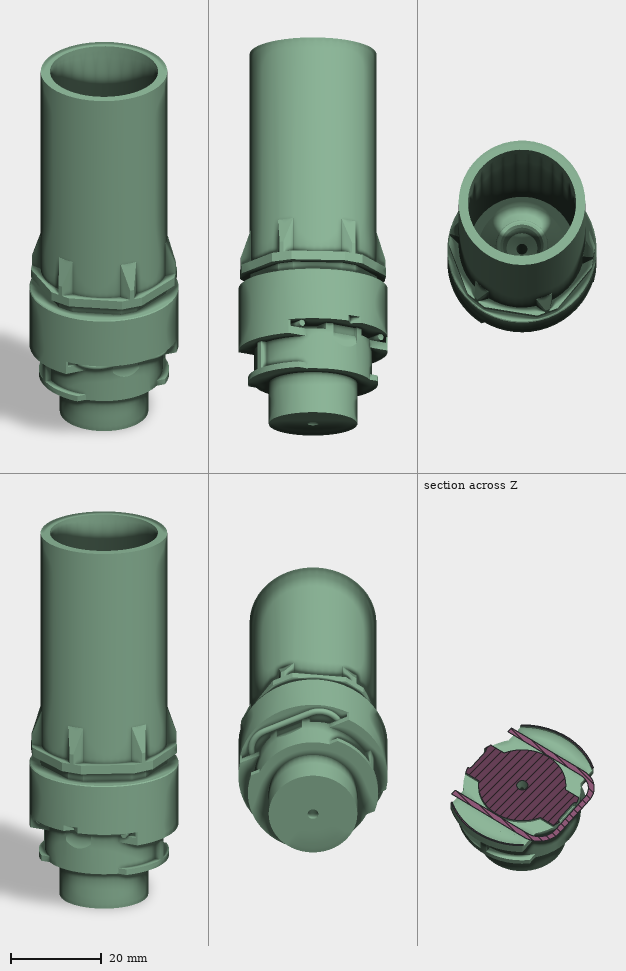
import cadquery as cq
import math

CARRIER_BASE_Z = 9.2
PLATE_TOP_Z = 10.5
TAB_BOTTOM_Z = 16.6
CLIP_SLOT_BOTTOM_Z = 18.3
CAP_BOTTOM_Z = 19.7
CAP_TOP_Z = 31.1
COLLAR_BOTTOM_Z = 33.5
COLLAR_TOP_Z = 35.5
FIN_KNEE_Z = 37.8
FIN_TOP_Z = 43.5
TUBE_TOP_Z = 84.7

TUBE_RADIUS = 14.0
BORE_RADIUS = 11.8
BORE_MOUTH_RADIUS = 11.95
COLLAR_CORNER_DISTANCE = 16.0
COLLAR_FLAT_DISTANCE = 15.05
NECK_FLAT_DISTANCE = 13.05
FIN_COUNT = 6
FIN_ROOT_WIDTH = 3.7
FIN_EDGE_WIDTH = 0.9
FIN_ROOT_RADIUS = 13.0

CAP_RADIUS = 16.5
CAP_EDGE_CHAMFER = 0.2
TAB_HALF_WIDTH = 9.85
TAB_GROOVE_RADIUS = 16.1
MARK_HALF_WIDTH = 1.8
MARK_DEPTH = 1.8
MARK_HEIGHT = 1.3

CARRIER_RADIUS = 13.0
CARRIER_NECK_RADIUS = 9.8
CLIP_CORE_RADIUS = 9.7
TOOTH_HALF_WIDTH = 4.75
PLATE_RADIUS = 14.4
RIB_WIDTH = 1.5
POCKET_DISTANCE = 12.15
POCKET_WIDTH = 6.2
POCKET_KNEE_Z = 17.75
POCKET_RUNOUT_Z = 14.8
RECESS_DISTANCE = 12.0
RECESS_WIDTH = 5.6
HOLE_RADIUS = 1.2
NOZZLE_BASE_RADIUS = 9.7
NOZZLE_TIP_RADIUS = 5.8
NOZZLE_RIM_RADIUS = 5.25
NOZZLE_MOUTH_RADIUS = 4.75
NOZZLE_THROAT_RADIUS = 4.2
FUNNEL_RADIUS = 3.4
NOZZLE_HEIGHT = 4.0
THROAT_DEPTH = 0.75
FUNNEL_START_DEPTH = 3.0
FUNNEL_DEPTH = 1.0

WIRE_RADIUS = (CAP_BOTTOM_Z - CLIP_SLOT_BOTTOM_Z) / 2
WIRE_Z = (CLIP_SLOT_BOTTOM_Z + CAP_BOTTOM_Z) / 2
LEG_OFFSET = 10.5
LEG_END_X = -11.2
CROSSBAR_X = 13.7
BEND_RADIUS = 5.0


def disc(radius, bottom, top):
    return cq.Workplane("XY").workplane(offset=bottom).circle(radius).extrude(top - bottom)


def box(x_range, y_range, z_range):
    size = [high - low for low, high in (x_range, y_range, z_range)]
    corner = (x_range[0], y_range[0], z_range[0])
    return cq.Workplane("XY").box(*size, centered=False).translate(corner)


def twelve_sided(corner_distance, flat_distance, bottom, top):
    """Hexagonal prism with its flats at flat_distance and its corners cut off at corner_distance."""
    height = top - bottom
    hexagon_width = 2 * flat_distance / math.cos(math.pi / 6)
    corner_cut_width = 2 * corner_distance / math.cos(math.pi / 6)
    base = cq.Workplane("XY").workplane(offset=bottom)
    hexagon = base.polygon(6, hexagon_width).extrude(height)
    corner_cut = base.transformed(rotate=(0, 0, 30)).polygon(6, corner_cut_width).extrude(height)
    return hexagon.intersect(corner_cut)


def make_fin():
    """Fin on the +X side, tapering outwards in plan and sloping back to the tube at its top."""
    plan = [
        (FIN_ROOT_RADIUS, -FIN_ROOT_WIDTH / 2),
        (TUBE_RADIUS, -FIN_ROOT_WIDTH / 2),
        (COLLAR_CORNER_DISTANCE, -FIN_EDGE_WIDTH / 2),
        (COLLAR_CORNER_DISTANCE, FIN_EDGE_WIDTH / 2),
        (TUBE_RADIUS, FIN_ROOT_WIDTH / 2),
        (FIN_ROOT_RADIUS, FIN_ROOT_WIDTH / 2),
    ]
    side = [
        (FIN_ROOT_RADIUS, COLLAR_BOTTOM_Z),
        (COLLAR_CORNER_DISTANCE, COLLAR_BOTTOM_Z),
        (COLLAR_CORNER_DISTANCE, FIN_KNEE_Z),
        (TUBE_RADIUS, FIN_TOP_Z),
        (FIN_ROOT_RADIUS, FIN_TOP_Z),
    ]
    base = cq.Workplane("XY").workplane(offset=COLLAR_BOTTOM_Z)
    upright = base.polyline(plan).close().extrude(FIN_TOP_Z - COLLAR_BOTTOM_Z)
    profile = cq.Workplane("XZ").polyline(side).close().extrude(FIN_ROOT_WIDTH, both=True)
    return upright.intersect(profile)


def make_tube():
    spigot = disc(TUBE_RADIUS, CAP_BOTTOM_Z, CAP_TOP_Z)
    neck = twelve_sided(TUBE_RADIUS, NECK_FLAT_DISTANCE, CAP_TOP_Z, COLLAR_BOTTOM_Z)
    collar = twelve_sided(COLLAR_CORNER_DISTANCE, COLLAR_FLAT_DISTANCE, COLLAR_BOTTOM_Z, COLLAR_TOP_Z)
    barrel = disc(TUBE_RADIUS, COLLAR_TOP_Z, TUBE_TOP_Z)
    tube = spigot.union(neck).union(collar).union(barrel)
    fin = make_fin()
    for index in range(FIN_COUNT):
        tube = tube.union(fin.rotate((0, 0, 0), (0, 0, 1), index * 360 / FIN_COUNT))
    bore_profile = [
        (0, CAP_BOTTOM_Z),
        (BORE_RADIUS, CAP_BOTTOM_Z),
        (BORE_RADIUS, CAP_TOP_Z),
        (BORE_MOUTH_RADIUS, TUBE_TOP_Z),
        (0, TUBE_TOP_Z),
    ]
    bore = cq.Workplane("XZ").polyline(bore_profile).close().revolve(360, (0, 0, 0), (0, 1, 0))
    return tube.cut(bore)


def make_cap():
    cap = disc(CAP_RADIUS, CAP_BOTTOM_Z, CAP_TOP_Z).faces(">Z").edges().chamfer(CAP_EDGE_CHAMFER)
    cap = cap.cut(disc(TUBE_RADIUS, CAP_BOTTOM_Z, CAP_TOP_Z))

    skirt = disc(CAP_RADIUS, TAB_BOTTOM_Z, CAP_BOTTOM_Z)
    skirt = skirt.cut(disc(CARRIER_RADIUS, TAB_BOTTOM_Z, CLIP_SLOT_BOTTOM_Z))
    skirt = skirt.cut(disc(TAB_GROOVE_RADIUS, CLIP_SLOT_BOTTOM_Z, CAP_BOTTOM_Z))
    tab_span = box(
        (-TAB_HALF_WIDTH, TAB_HALF_WIDTH),
        (-CAP_RADIUS, CAP_RADIUS),
        (TAB_BOTTOM_Z, CAP_BOTTOM_Z),
    )
    cap = cap.union(skirt.intersect(tab_span))

    mark_plan = [
        (-CAP_RADIUS, -MARK_HALF_WIDTH),
        (-CAP_RADIUS + MARK_DEPTH, 0),
        (-CAP_RADIUS, MARK_HALF_WIDTH),
    ]
    mark = cq.Workplane("XY").workplane(offset=CAP_BOTTOM_Z).polyline(mark_plan).close().extrude(MARK_HEIGHT)
    return cap.cut(mark)


def make_pocket():
    """Pocket in the +X tooth: it runs out downwards and has a shallow recess above the knee."""
    side = [
        (POCKET_DISTANCE, CAP_BOTTOM_Z),
        (POCKET_DISTANCE, POCKET_KNEE_Z),
        (CARRIER_RADIUS, POCKET_RUNOUT_Z),
        (CARRIER_RADIUS, CAP_BOTTOM_Z),
    ]
    pocket = cq.Workplane("XZ").polyline(side).close().extrude(POCKET_WIDTH / 2, both=True)
    recess = box(
        (RECESS_DISTANCE, CARRIER_RADIUS),
        (-RECESS_WIDTH / 2, RECESS_WIDTH / 2),
        (POCKET_KNEE_Z, CAP_BOTTOM_Z),
    )
    return pocket.union(recess)


def make_nozzle():
    """Cone with a rounded rim and a stepped funnel inside, standing on the carrier's top face."""
    tip_z = CAP_TOP_Z + NOZZLE_HEIGHT
    rim_height = NOZZLE_TIP_RADIUS - NOZZLE_RIM_RADIUS
    rim_middle = rim_height * math.cos(math.pi / 4)
    funnel_top_z = tip_z - FUNNEL_START_DEPTH
    return (
        cq.Workplane("XZ")
        .moveTo(0, CAP_TOP_Z)
        .lineTo(NOZZLE_BASE_RADIUS, CAP_TOP_Z)
        .lineTo(NOZZLE_TIP_RADIUS, tip_z - rim_height)
        .threePointArc(
            (NOZZLE_RIM_RADIUS + rim_middle, tip_z - rim_height + rim_middle),
            (NOZZLE_RIM_RADIUS, tip_z),
        )
        .lineTo(NOZZLE_MOUTH_RADIUS, tip_z)
        .lineTo(NOZZLE_THROAT_RADIUS, tip_z - THROAT_DEPTH)
        .lineTo(FUNNEL_RADIUS, funnel_top_z)
        .lineTo(0, funnel_top_z)
        .close()
        .revolve(360, (0, 0, 0), (0, 1, 0))
    )


def make_funnel():
    top_z = CAP_TOP_Z + NOZZLE_HEIGHT - FUNNEL_START_DEPTH
    base = cq.Workplane("XZ").moveTo(0, top_z).lineTo(FUNNEL_RADIUS, top_z)
    profile = base.lineTo(HOLE_RADIUS, top_z - FUNNEL_DEPTH).lineTo(0, top_z - FUNNEL_DEPTH).close()
    return profile.revolve(360, (0, 0, 0), (0, 1, 0))


def make_carrier():
    carrier = disc(CARRIER_NECK_RADIUS, 0, CARRIER_BASE_Z)
    carrier = carrier.union(disc(CARRIER_RADIUS, CARRIER_BASE_Z, CLIP_SLOT_BOTTOM_Z))
    carrier = carrier.union(disc(CLIP_CORE_RADIUS, CLIP_SLOT_BOTTOM_Z, CAP_BOTTOM_Z))
    carrier = carrier.union(disc(BORE_RADIUS, CAP_BOTTOM_Z, CAP_TOP_Z))

    tooth_span = box(
        (-CARRIER_RADIUS, CARRIER_RADIUS),
        (-TOOTH_HALF_WIDTH, TOOTH_HALF_WIDTH),
        (CLIP_SLOT_BOTTOM_Z, CAP_BOTTOM_Z),
    )
    carrier = carrier.union(disc(CARRIER_RADIUS, CLIP_SLOT_BOTTOM_Z, CAP_BOTTOM_Z).intersect(tooth_span))

    plate_span = box(
        (-TAB_HALF_WIDTH, TAB_HALF_WIDTH),
        (-PLATE_RADIUS, PLATE_RADIUS),
        (CARRIER_BASE_Z, PLATE_TOP_Z),
    )
    rib_span = box(
        (-RIB_WIDTH / 2, RIB_WIDTH / 2),
        (-PLATE_RADIUS, PLATE_RADIUS),
        (CARRIER_BASE_Z, TAB_BOTTOM_Z),
    )
    plates_and_ribs = disc(PLATE_RADIUS, CARRIER_BASE_Z, TAB_BOTTOM_Z).intersect(plate_span.union(rib_span))
    carrier = carrier.union(plates_and_ribs)

    pocket = make_pocket()
    carrier = carrier.cut(pocket).cut(pocket.mirror("YZ"))

    carrier = carrier.union(make_nozzle()).cut(make_funnel())
    return carrier.cut(disc(HOLE_RADIUS, 0, TUBE_TOP_Z))


def make_clip():
    """U-shaped round wire: two legs along X, joined by a crossbar outside the +X tooth."""
    bend_x = CROSSBAR_X - BEND_RADIUS
    bend_y = LEG_OFFSET - BEND_RADIUS
    bend_middle = BEND_RADIUS * math.cos(math.pi / 4)
    path = (
        cq.Workplane("XY")
        .workplane(offset=WIRE_Z)
        .moveTo(LEG_END_X, -LEG_OFFSET)
        .lineTo(bend_x, -LEG_OFFSET)
        .threePointArc((bend_x + bend_middle, -bend_y - bend_middle), (CROSSBAR_X, -bend_y))
        .lineTo(CROSSBAR_X, bend_y)
        .threePointArc((bend_x + bend_middle, bend_y + bend_middle), (bend_x, LEG_OFFSET))
        .lineTo(LEG_END_X, LEG_OFFSET)
    )
    leg_end = cq.Workplane("YZ", origin=(LEG_END_X, -LEG_OFFSET, WIRE_Z))
    return leg_end.circle(WIRE_RADIUS).sweep(path)


tube = make_tube().solids()
cap = make_cap().solids()
carrier = make_carrier().solids()
clip = make_clip().solids()

result = cq.Compound.makeCompound([tube.val(), cap.val(), carrier.val(), clip.val()])